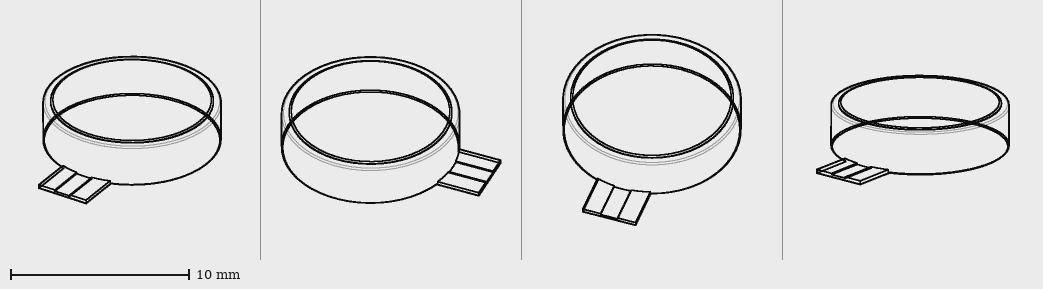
import cadquery as cq

case_diameter = 10.0
case_radius = case_diameter / 2
total_height = 2.62
lid_height = 0.09
case_height = total_height - lid_height
top_edge_radius = 0.1
bottom_edge_chamfer = 0.07

lid_radius = 4.57
lid_bevel_width = 0.12
lid_bevel_height = 0.06

overall_length = 12.25
tab_end = overall_length - case_radius
tab_width = 3.14
tab_thickness = 0.22
groove_width = 1.0
groove_depth = 0.07


def make_case():
    case = cq.Workplane("XY").circle(case_radius).extrude(case_height)
    case = case.faces(">Z").edges().fillet(top_edge_radius)
    return case.faces("<Z").edges().chamfer(bottom_edge_chamfer)


def make_lid():
    lid = cq.Workplane("XY").workplane(offset=case_height).circle(lid_radius).extrude(lid_height)
    return lid.faces(">Z").edges().chamfer(lid_bevel_height, lid_bevel_width)


def tab_block(width, thickness, bottom):
    """Centered block from the case axis out to the end of the tab."""
    block = cq.Workplane("XY").box(width, tab_end, thickness, centered=(True, False, False))
    return block.translate((0, -tab_end, bottom))


def make_tab():
    tab = tab_block(tab_width, tab_thickness, 0)
    groove = tab_block(groove_width, groove_depth, tab_thickness - groove_depth)
    return tab.cut(groove)


result = make_case().union(make_lid()).union(make_tab())